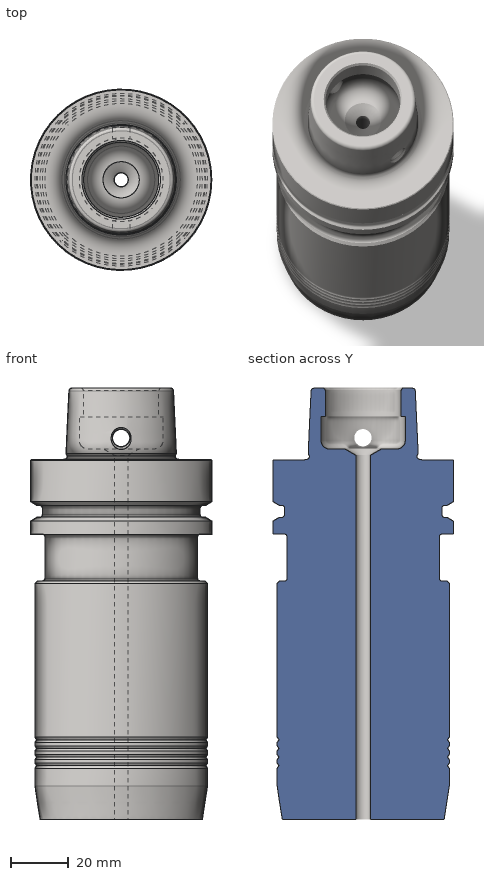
import cadquery as cq
import math

TOTAL_HEIGHT = 149.9
FLANGE_TOP = 125.0
FLANGE_BOTTOM = 99.1
BODY_TOP = 82.9
NOSE_HEIGHT = 11.7

FLANGE_RADIUS = 31.5
FLANGE_CHAMFER = 0.3
NECK_RADIUS = 26.5
BODY_RADIUS = 30.0
NOSE_TIP_RADIUS = 28.2
NECK_FILLET = 0.9
BODY_CHAMFER = 0.9

SHANK_TOP_RADIUS = 18.1
SHANK_BASE_RADIUS = 19.2
SHANK_BASE_HEIGHT = 127.1
SHANK_TIP_FILLET = 1.2
RELIEF_RADIUS = 18.7
RELIEF_TOP = 126.2
RELIEF_FILLET = 1.0
RELIEF_TOE_RADIUS = 20.5

GRIP_MIDDLE = 107.0
GRIP_MOUTH_WIDTH = 6.7
GRIP_FLOOR_WIDTH = 4.0
GRIP_FLOOR_RADIUS = 27.5
GRIP_BEVEL_RADIUS = 29.2
GRIP_FILLET = 0.9

RING_COUNT = 4
RING_PITCH = 3.0
RING_WIDTH = 1.8
RING_DEPTH = 0.6
LOWEST_RING = 18.7

MOUTH_RADIUS = 13.6
BORE_RADIUS = 13.0
MOUTH_CHAMFER = 0.9
CLAMP_LEDGE_HEIGHT = 139.9
CAVITY_RADIUS = 14.5
CAVITY_FILLET = 2.8
CAVITY_FLOOR = 128.8
COUNTERSINK_RADIUS = 6.3
COOLANT_RADIUS = 2.4
COUNTERSINK_DEPTH = 2.2

CROSS_HOLE_HEIGHT = 132.5
CROSS_HOLE_RADIUS = 3.0
CROSS_SINK_RADIUS = 4.0

ARC_45 = math.sqrt(0.5)


def make_outside():
    """Revolve the outer outline, without the grooves."""
    neck_arc = NECK_FILLET * (1 - ARC_45)
    neck_low = BODY_TOP + NECK_FILLET
    neck_high = FLANGE_BOTTOM - NECK_FILLET
    outline = (
        cq.Workplane("XZ")
        .moveTo(0, 0)
        .lineTo(NOSE_TIP_RADIUS, 0)
        .lineTo(BODY_RADIUS, NOSE_HEIGHT)
        .lineTo(BODY_RADIUS, BODY_TOP - BODY_CHAMFER)
        .lineTo(BODY_RADIUS - BODY_CHAMFER, BODY_TOP)
        .lineTo(NECK_RADIUS + NECK_FILLET, BODY_TOP)
        .threePointArc((NECK_RADIUS + neck_arc, BODY_TOP + neck_arc), (NECK_RADIUS, neck_low))
        .lineTo(NECK_RADIUS, neck_high)
        .threePointArc(
            (NECK_RADIUS + neck_arc, FLANGE_BOTTOM - neck_arc),
            (NECK_RADIUS + NECK_FILLET, FLANGE_BOTTOM),
        )
        .lineTo(FLANGE_RADIUS, FLANGE_BOTTOM)
        .lineTo(FLANGE_RADIUS, FLANGE_TOP - FLANGE_CHAMFER)
        .lineTo(FLANGE_RADIUS - FLANGE_CHAMFER, FLANGE_TOP)
        .lineTo(RELIEF_TOE_RADIUS, FLANGE_TOP)
        .lineTo(RELIEF_RADIUS + RELIEF_FILLET, RELIEF_TOP - RELIEF_FILLET)
        .radiusArc((RELIEF_RADIUS, RELIEF_TOP), RELIEF_FILLET)
        .lineTo(SHANK_BASE_RADIUS, SHANK_BASE_HEIGHT)
        .lineTo(SHANK_TOP_RADIUS, TOTAL_HEIGHT)
        .lineTo(0, TOTAL_HEIGHT)
        .close()
    )
    solid = outline.revolve(360, (0, 0, 0), (0, 1, 0))
    return solid.faces(">Z").edges().fillet(SHANK_TIP_FILLET)


def make_grip_groove():
    """Ring that cuts the gripper groove, with a bevelled mouth and rounded floor corners."""
    half_mouth = GRIP_MOUTH_WIDTH / 2
    half_floor = GRIP_FLOOR_WIDTH / 2
    outline = (
        cq.Workplane("XZ")
        .moveTo(FLANGE_RADIUS, GRIP_MIDDLE - half_mouth)
        .lineTo(GRIP_BEVEL_RADIUS, GRIP_MIDDLE - half_floor)
        .lineTo(GRIP_FLOOR_RADIUS, GRIP_MIDDLE - half_floor)
        .lineTo(GRIP_FLOOR_RADIUS, GRIP_MIDDLE + half_floor)
        .lineTo(GRIP_BEVEL_RADIUS, GRIP_MIDDLE + half_floor)
        .lineTo(FLANGE_RADIUS, GRIP_MIDDLE + half_mouth)
        .close()
    )
    ring = outline.revolve(360, (0, 0, 0), (0, 1, 0))
    return ring.edges(cq.selectors.RadiusNthSelector(0)).fillet(GRIP_FILLET)


def make_ring_groove(height):
    """Ring that cuts one V-groove at the given height."""
    outline = (
        cq.Workplane("XZ")
        .moveTo(BODY_RADIUS, height - RING_WIDTH / 2)
        .lineTo(BODY_RADIUS - RING_DEPTH, height)
        .lineTo(BODY_RADIUS, height + RING_WIDTH / 2)
        .close()
    )
    return outline.revolve(360, (0, 0, 0), (0, 1, 0))


def make_cavity():
    """Shank cavity, countersink and coolant bore as one revolved cutter."""
    arc_inset = CAVITY_FILLET * (1 - ARC_45)
    floor_edge = CAVITY_RADIUS - CAVITY_FILLET
    outline = (
        cq.Workplane("XZ")
        .moveTo(0, 0)
        .lineTo(COOLANT_RADIUS, 0)
        .lineTo(COOLANT_RADIUS, CAVITY_FLOOR - COUNTERSINK_DEPTH)
        .lineTo(COUNTERSINK_RADIUS, CAVITY_FLOOR)
        .lineTo(floor_edge, CAVITY_FLOOR)
        .threePointArc(
            (CAVITY_RADIUS - arc_inset, CAVITY_FLOOR + arc_inset),
            (CAVITY_RADIUS, CAVITY_FLOOR + CAVITY_FILLET),
        )
        .lineTo(CAVITY_RADIUS, CLAMP_LEDGE_HEIGHT)
        .lineTo(BORE_RADIUS, CLAMP_LEDGE_HEIGHT)
        .lineTo(BORE_RADIUS, TOTAL_HEIGHT - MOUTH_CHAMFER)
        .lineTo(MOUTH_RADIUS, TOTAL_HEIGHT)
        .lineTo(0, TOTAL_HEIGHT)
        .close()
    )
    return outline.revolve(360, (0, 0, 0), (0, 1, 0))


def make_cross_hole():
    """Hole along Y through both shank walls, chamfered at each outer end."""
    reach = SHANK_BASE_RADIUS
    sink = CROSS_SINK_RADIUS - CROSS_HOLE_RADIUS
    outline = (
        cq.Workplane("XY")
        .moveTo(0, -reach)
        .lineTo(CROSS_SINK_RADIUS, -reach)
        .lineTo(CROSS_HOLE_RADIUS, sink - reach)
        .lineTo(CROSS_HOLE_RADIUS, reach - sink)
        .lineTo(CROSS_SINK_RADIUS, reach)
        .lineTo(0, reach)
        .close()
    )
    hole = outline.revolve(360, (0, 0, 0), (0, 1, 0))
    return hole.translate((0, 0, CROSS_HOLE_HEIGHT))


result = make_outside().cut(make_grip_groove())
for index in range(RING_COUNT):
    result = result.cut(make_ring_groove(LOWEST_RING + index * RING_PITCH))
result = result.cut(make_cavity()).cut(make_cross_hole())